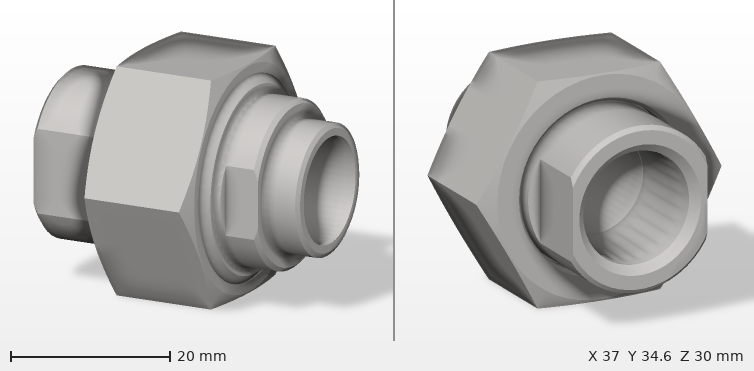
import cadquery as cq
import math


LENGTH = 37.0

NUT_START = 10.47
NUT_END = 25.55
NUT_ACROSS_FLATS = 30.0
NUT_ACROSS_CORNERS = NUT_ACROSS_FLATS / math.cos(math.pi / 6)
NUT_FACE_DIAMETER = 29.6
NUT_CHAMFER_DEPTH = 0.85
NUT_BORE_DIAMETER = 22.5
NUT_BORE_CHAMFER = 0.48
NUT_LIP_THICKNESS = 2.95
THREAD_DIAMETER = 26.85

BARREL_DIAMETER = 22.0
BARREL_CHAMFER = 0.55
FLANGE_DIAMETER = 25.4
FLANGE_START = NUT_START + NUT_LIP_THICKNESS
FLANGE_END = FLANGE_START + 2.22
SOCKET_MOUTH_DIAMETER = 17.2
SOCKET_DIAMETER = 14.95
SOCKET_END_DIAMETER = 14.2
SOCKET_MOUTH_DEPTH = (SOCKET_MOUTH_DIAMETER - SOCKET_DIAMETER) / 2
SOCKET_TAPER = 1 / 16
SOCKET_END = SOCKET_MOUTH_DEPTH + (SOCKET_DIAMETER - SOCKET_END_DIAMETER) / SOCKET_TAPER
TAIL_ACROSS_FLATS = 19.0
TAIL_FLAT_END = 9.0

BORE_DIAMETER = 14.0
COLLAR_END = 26.53
COLLAR_END_DIAMETER = 24.5
COLLAR_CHAMFER = (THREAD_DIAMETER - COLLAR_END_DIAMETER) / 2
COLLAR_FILLET = 0.78
SHOULDER_END = 32.08
BODY_ACROSS_FLATS = 20.0
BODY_FLAT_START = 27.55
SPIGOT_DIAMETER = 17.2
SPIGOT_FILLET = 0.7
SPIGOT_CHAMFER_LENGTH = 0.37
SPIGOT_END_DIAMETER = 15.95

FLAT_END_LEAN = math.radians(15)


def revolve_about_x(outline):
    """Turn an outline of (x, radius) positions about the X axis."""
    return outline.close().revolve(360, (0, 0, 0), (1, 0, 0))


def fillet_middle(x, radius, fillet):
    """Middle of an internal fillet between a face at x and a cylinder of the given radius."""
    inset = fillet * (1 - math.sqrt(0.5))
    return (x + inset, radius + inset)


def wrench_flats(across_flats, outer_end, inner_end):
    """Material outside two flats facing +Y and -Y, from the open end to the sloping inner end."""
    half_width = across_flats / 2
    outer = NUT_ACROSS_CORNERS / 2
    direction = math.copysign(1, inner_end - outer_end)
    run_out = direction * (outer - half_width) * math.tan(FLAT_END_LEAN)
    flat = (
        cq.Workplane("XY")
        .moveTo(outer_end, half_width)
        .lineTo(inner_end, half_width)
        .lineTo(inner_end + run_out, outer)
        .lineTo(outer_end, outer)
        .close()
        .extrude(BARREL_DIAMETER / 2, both=True)
    )
    return flat.union(flat.mirror("XZ"))


def make_nut():
    hexagon = (
        cq.Workplane("YZ", origin=(NUT_START, 0, 0))
        .polygon(6, NUT_ACROSS_CORNERS)
        .extrude(NUT_END - NUT_START)
    )
    corner_radius = NUT_ACROSS_CORNERS / 2
    face_radius = NUT_FACE_DIAMETER / 2
    bore_radius = NUT_BORE_DIAMETER / 2
    thread_radius = THREAD_DIAMETER / 2
    ring = revolve_about_x(
        cq.Workplane("XY")
        .moveTo(NUT_START, bore_radius + NUT_BORE_CHAMFER)
        .lineTo(NUT_START, face_radius)
        .lineTo(NUT_START + NUT_CHAMFER_DEPTH, corner_radius)
        .lineTo(NUT_END - NUT_CHAMFER_DEPTH, corner_radius)
        .lineTo(NUT_END, face_radius)
        .lineTo(NUT_END, thread_radius)
        .lineTo(FLANGE_START, thread_radius)
        .lineTo(FLANGE_START, bore_radius)
        .lineTo(NUT_START + NUT_BORE_CHAMFER, bore_radius)
    )
    return hexagon.intersect(ring)


def make_tailpiece():
    barrel_radius = BARREL_DIAMETER / 2
    flange_radius = FLANGE_DIAMETER / 2
    turned = revolve_about_x(
        cq.Workplane("XY")
        .moveTo(0, SOCKET_MOUTH_DIAMETER / 2)
        .lineTo(0, barrel_radius - BARREL_CHAMFER)
        .lineTo(BARREL_CHAMFER, barrel_radius)
        .lineTo(FLANGE_START, barrel_radius)
        .lineTo(FLANGE_START, flange_radius)
        .lineTo(FLANGE_END, flange_radius)
        .lineTo(FLANGE_END, BORE_DIAMETER / 2)
        .lineTo(SOCKET_END, BORE_DIAMETER / 2)
        .lineTo(SOCKET_END, SOCKET_END_DIAMETER / 2)
        .lineTo(SOCKET_MOUTH_DEPTH, SOCKET_DIAMETER / 2)
    )
    return turned.cut(wrench_flats(TAIL_ACROSS_FLATS, 0, TAIL_FLAT_END))


def make_body():
    bore_radius = BORE_DIAMETER / 2
    thread_radius = THREAD_DIAMETER / 2
    shoulder_radius = BARREL_DIAMETER / 2
    spigot_radius = SPIGOT_DIAMETER / 2
    turned = revolve_about_x(
        cq.Workplane("XY")
        .moveTo(FLANGE_END, bore_radius)
        .lineTo(FLANGE_END, thread_radius)
        .lineTo(COLLAR_END - COLLAR_CHAMFER, thread_radius)
        .lineTo(COLLAR_END, COLLAR_END_DIAMETER / 2)
        .lineTo(COLLAR_END, shoulder_radius + COLLAR_FILLET)
        .threePointArc(
            fillet_middle(COLLAR_END, shoulder_radius, COLLAR_FILLET),
            (COLLAR_END + COLLAR_FILLET, shoulder_radius),
        )
        .lineTo(SHOULDER_END - BARREL_CHAMFER, shoulder_radius)
        .lineTo(SHOULDER_END, shoulder_radius - BARREL_CHAMFER)
        .lineTo(SHOULDER_END, spigot_radius + SPIGOT_FILLET)
        .threePointArc(
            fillet_middle(SHOULDER_END, spigot_radius, SPIGOT_FILLET),
            (SHOULDER_END + SPIGOT_FILLET, spigot_radius),
        )
        .lineTo(LENGTH - SPIGOT_CHAMFER_LENGTH, spigot_radius)
        .lineTo(LENGTH, SPIGOT_END_DIAMETER / 2)
        .lineTo(LENGTH, bore_radius)
    )
    return turned.cut(wrench_flats(BODY_ACROSS_FLATS, SHOULDER_END, BODY_FLAT_START))


nut = make_nut()
tailpiece = make_tailpiece()
body = make_body()

result = cq.Compound.makeCompound([nut.val(), tailpiece.val(), body.val()])